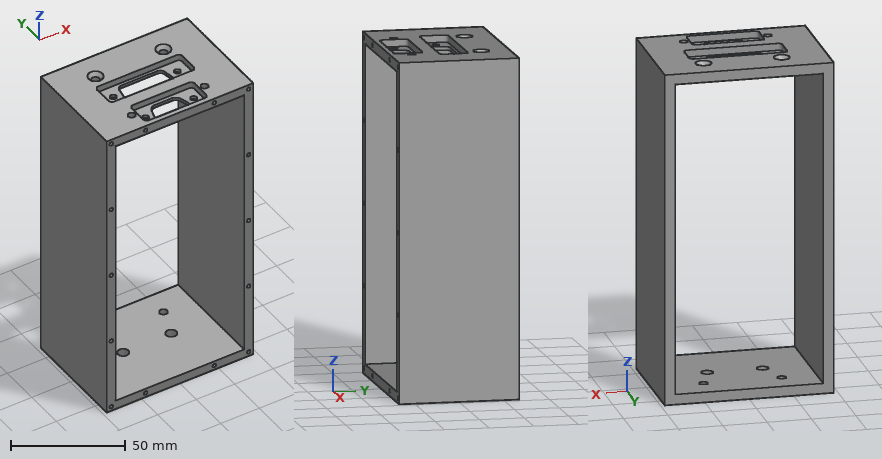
import cadquery as cq
import math

WIDTH = 76.2
DEPTH = 53.85
HEIGHT = 152.4
WALL = 4.76

COVER_HOLE_DIAMETER = 1.8
COVER_HOLE_DEPTH = 6.5
DRILL_POINT_ANGLE = 118.0
COVER_HOLE_STEPS = (-1, -0.5, 0, 0.5, 1)
RIM_X = WIDTH / 2 - WALL / 2
RIM_Z = HEIGHT / 2 - WALL / 2

RECESS_HEIGHT = 12.8
RECESS_DEPTH = 3.2
RECESS_CORNER_RADIUS = 1.8
CONNECTOR_HOLE_DIAMETER = 3.1

POWER_Y = 1.3
POWER_RECESS_WIDTH = 44.2
POWER_HOLE_SPACING = 33.3
POWER_OPENING_BOTTOM = 26.2
POWER_OPENING_HEIGHT = 9.7
POWER_OPENING_SLANT = 10.0
POWER_OPENING_RADIUS = 2.4

DATA_Y = -17.9
DATA_HOLE_Y = -18.4
DATA_OPENING_Y = -18.4
DATA_RECESS_WIDTH = 32.6
DATA_HOLE_SPACING = 25.0
DATA_OPENING_BOTTOM = 20.2
DATA_OPENING_HEIGHT = 10.2
DATA_OPENING_SLANT = 18.0
DATA_OPENING_RADIUS = 3.3

SIDE_HOLE_DIAMETER = 3.5
SIDE_HOLE_X = 18.95
SIDE_HOLE_Y = -17.2

SCREW_HOLE_DIAMETER = 3.8
SCREW_SINK_DIAMETER = 7.1
SCREW_SINK_ANGLE = 82.0
SCREW_X = 17.65
SCREW_Y = 14.3

BOTTOM_HOLE_DIAMETER = 5.2
BOTTOM_HOLE_X = 12.5
BOTTOM_HOLE_Y = -0.2

TOP = HEIGHT / 2
BOTTOM = -HEIGHT / 2


def mirrored(x, y):
    return [(-x, y), (x, y)]


def top_plane():
    return cq.Workplane("XY", origin=(0, 0, TOP))


def frame():
    outer = cq.Workplane("XY").box(WIDTH, DEPTH, HEIGHT)
    return outer.cut(cq.Workplane("XY").box(WIDTH - 2 * WALL, DEPTH, HEIGHT - 2 * WALL))


def cover_holes():
    side_points = [(x, RIM_Z * step) for x in (-RIM_X, RIM_X) for step in COVER_HOLE_STEPS]
    end_points = [(x, z) for x in (-RIM_X / 2, RIM_X / 2) for z in (-RIM_Z, RIM_Z)]
    radius = COVER_HOLE_DIAMETER / 2
    point_length = radius / math.tan(math.radians(DRILL_POINT_ANGLE / 2))
    inward = cq.Vector(0, 1, 0)
    holes = cq.Workplane("XY")
    for x, z in side_points + end_points:
        mouth = cq.Vector(x, -DEPTH / 2, z)
        floor = mouth + inward * COVER_HOLE_DEPTH
        shaft = cq.Solid.makeCylinder(radius, COVER_HOLE_DEPTH, mouth, inward)
        point = cq.Solid.makeCone(radius, 0, point_length, floor, inward)
        holes = holes.add(shaft.fuse(point))
    return holes.combine()


def connector_cutout(y, hole_y, opening_y, recess_width, hole_spacing, bottom, height, slant, radius):
    """Rounded recess with two screw holes and a D-shaped opening, narrow side towards +Y."""
    recess = (
        top_plane()
        .center(0, y)
        .rect(recess_width, RECESS_HEIGHT)
        .extrude(-RECESS_DEPTH)
        .edges("|Z")
        .fillet(RECESS_CORNER_RADIUS)
    )
    holes = (
        top_plane()
        .pushPoints(mirrored(hole_spacing / 2, hole_y))
        .circle(CONNECTOR_HOLE_DIAMETER / 2)
        .extrude(-WALL)
    )
    half_bottom = bottom / 2
    half_top = half_bottom - height * math.tan(math.radians(slant))
    opening = (
        top_plane()
        .center(0, opening_y)
        .polyline(
            [
                (-half_bottom, -height / 2),
                (half_bottom, -height / 2),
                (half_top, height / 2),
                (-half_top, height / 2),
            ]
        )
        .close()
        .extrude(-WALL)
        .edges("|Z")
        .fillet(radius)
    )
    return recess.union(holes).union(opening)


def side_holes():
    return (
        top_plane()
        .pushPoints(mirrored(SIDE_HOLE_X, SIDE_HOLE_Y))
        .circle(SIDE_HOLE_DIAMETER / 2)
        .extrude(-WALL)
    )


def bottom_holes(x, y, diameter):
    return (
        cq.Workplane("XY", origin=(0, 0, BOTTOM))
        .pushPoints(mirrored(x, y))
        .circle(diameter / 2)
        .extrude(WALL)
    )


def top_screw_holes():
    holes = (
        top_plane()
        .pushPoints(mirrored(SCREW_X, SCREW_Y))
        .circle(SCREW_HOLE_DIAMETER / 2)
        .extrude(-WALL)
    )
    half_angle = math.radians(SCREW_SINK_ANGLE / 2)
    sink_depth = (SCREW_SINK_DIAMETER - SCREW_HOLE_DIAMETER) / 2 / math.tan(half_angle)
    sinks = (
        top_plane()
        .pushPoints(mirrored(SCREW_X, SCREW_Y))
        .circle(SCREW_SINK_DIAMETER / 2)
        .extrude(-sink_depth, taper=SCREW_SINK_ANGLE / 2)
    )
    return holes.union(sinks)


power_cutout = connector_cutout(
    POWER_Y,
    POWER_Y,
    POWER_Y,
    POWER_RECESS_WIDTH,
    POWER_HOLE_SPACING,
    POWER_OPENING_BOTTOM,
    POWER_OPENING_HEIGHT,
    POWER_OPENING_SLANT,
    POWER_OPENING_RADIUS,
)
data_cutout = connector_cutout(
    DATA_Y,
    DATA_HOLE_Y,
    DATA_OPENING_Y,
    DATA_RECESS_WIDTH,
    DATA_HOLE_SPACING,
    DATA_OPENING_BOTTOM,
    DATA_OPENING_HEIGHT,
    DATA_OPENING_SLANT,
    DATA_OPENING_RADIUS,
)

result = (
    frame()
    .cut(cover_holes())
    .cut(power_cutout)
    .cut(data_cutout)
    .cut(side_holes())
    .cut(top_screw_holes())
    .cut(bottom_holes(SCREW_X, SCREW_Y, SCREW_HOLE_DIAMETER))
    .cut(bottom_holes(BOTTOM_HOLE_X, BOTTOM_HOLE_Y, BOTTOM_HOLE_DIAMETER))
)